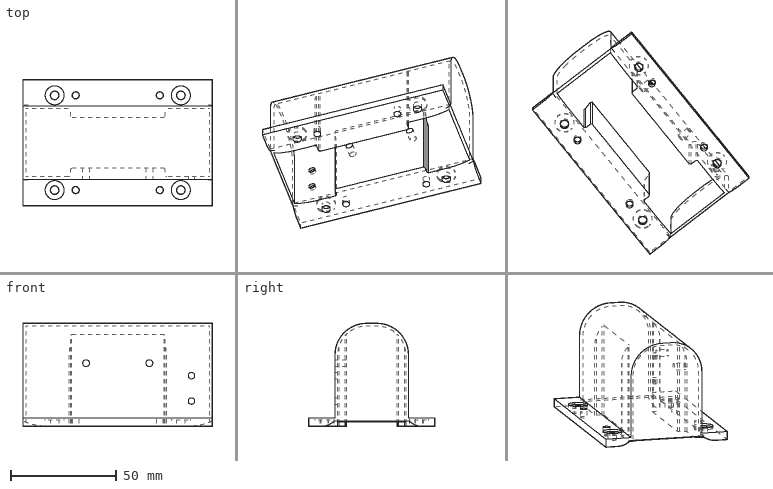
import cadquery as cq
import math

length = 90.0
base_width = 60.0
base_thickness = 4.0
height = 49.0

dome_radius = 15.0
housing_width = 35.0
housing_half_width = housing_width / 2
dome_start_height = height - dome_radius

wall_thickness = 1.35
cavity_half_length = length / 2 - wall_thickness
cavity_half_width = housing_half_width - wall_thickness
thick_wall_half_length = 22.5
thick_wall_gap = 24.1
thick_wall_bevel = 0.6

lead_in_half_width = 17.8
lead_in_radius = 8.7
lead_in_angle = 45.0
lead_in_stretch = 2.0
lead_in_reach = lead_in_radius * math.sin(math.radians(lead_in_angle))
lead_in_height = lead_in_radius * (1 - math.cos(math.radians(lead_in_angle)))

base_hole_y = 22.5
mount_hole_x = 30.0
mount_hole_diameter = 4.0
counterbore_diameter = 9.0
counterbore_depth = 1.0
pin_hole_x = 20.0
pin_hole_diameter = 3.2

upper_hole_x = 15.0
upper_hole_z = 30.0
upper_hole_diameter = 3.2
end_hole_x = 35.0
end_hole_heights = (12.0, 24.0)
end_hole_diameter = 3.1


def make_round_topped_bar(bar_length, half_width, top_radius):
    """Bar along X standing on Z = 0, with a quarter round along each side of its top."""
    flat_half_width = half_width - top_radius
    shoulder = top_radius * math.sin(math.radians(45))
    arc_y = flat_half_width + shoulder
    arc_z = dome_start_height + shoulder
    top = dome_start_height + top_radius
    return (
        cq.Workplane("YZ", origin=(-bar_length / 2, 0, 0))
        .moveTo(-half_width, 0)
        .lineTo(-half_width, dome_start_height)
        .threePointArc((-arc_y, arc_z), (-flat_half_width, top))
        .lineTo(flat_half_width, top)
        .threePointArc((arc_y, arc_z), (half_width, dome_start_height))
        .lineTo(half_width, 0)
        .close()
        .extrude(bar_length)
    )


def make_lead_in_profile(y):
    """Area under the lead-in arc, which runs out tangent to the underside."""
    half_angle = math.radians(lead_in_angle / 2)
    middle = (
        lead_in_reach - lead_in_radius * math.sin(half_angle),
        lead_in_radius * (1 - math.cos(half_angle)),
    )
    return (
        cq.Workplane("XZ", origin=(0, y, 0))
        .lineTo(0, lead_in_height)
        .threePointArc(middle, (lead_in_reach, 0))
        .close()
    )


def make_lead_in():
    """Cutter for the -X end: straight across below the end wall, swept round at both sides.

    It is stretched along X, so the ramp is gentler lengthwise than sideways.
    """
    cutter = make_lead_in_profile(lead_in_half_width).extrude(2 * lead_in_half_width)
    for y in (-lead_in_half_width, lead_in_half_width):
        corner = make_lead_in_profile(y).revolve(360, (0, 0), (0, 1))
        cutter = cutter.union(corner)
    stretch = cq.Matrix([[lead_in_stretch, 0, 0, 0], [0, 1, 0, 0], [0, 0, 1, 0]])
    stretched = cutter.val().transformGeometry(stretch)
    return cq.Workplane(stretched).translate((-length / 2, 0, 0))


def make_cavity():
    """Cavity cutter: the housing shape set in by its walls, trimmed to a stepped plan outline."""
    inside = make_round_topped_bar(
        2 * cavity_half_length, cavity_half_width, dome_radius - wall_thickness
    )
    middle_half_width = thick_wall_gap / 2
    quarter_outline = [
        (cavity_half_length, cavity_half_width),
        (thick_wall_half_length + thick_wall_bevel, cavity_half_width),
        (thick_wall_half_length, cavity_half_width - thick_wall_bevel),
        (thick_wall_half_length, middle_half_width + thick_wall_bevel),
        (thick_wall_half_length - thick_wall_bevel, middle_half_width),
    ]
    half_outline = quarter_outline + [(-x, y) for x, y in reversed(quarter_outline)]
    outline = half_outline + [(x, -y) for x, y in reversed(half_outline)]
    plan = cq.Workplane("XY").polyline(outline).close().extrude(height)
    return inside.intersect(plan)


base = cq.Workplane("XY").box(length, base_width, base_thickness, centered=(True, True, False))
result = base.union(make_round_topped_bar(length, housing_half_width, dome_radius))
result = result.cut(make_cavity())

lead_in = make_lead_in()
result = result.cut(lead_in).cut(lead_in.mirror("YZ"))

base_top = cq.Workplane("XY", origin=(0, 0, base_thickness))
mount_holes = base_top.rect(2 * mount_hole_x, 2 * base_hole_y, forConstruction=True).vertices()
result = result.cut(mount_holes.circle(mount_hole_diameter / 2).extrude(-base_thickness))
result = result.cut(mount_holes.circle(counterbore_diameter / 2).extrude(-counterbore_depth))
pin_holes = base_top.rect(2 * pin_hole_x, 2 * base_hole_y, forConstruction=True).vertices()
result = result.cut(pin_holes.circle(pin_hole_diameter / 2).extrude(-base_thickness))

side_wall = cq.Workplane("XZ", origin=(0, -housing_half_width, 0))
upper_holes = side_wall.pushPoints([(x, upper_hole_z) for x in (-upper_hole_x, upper_hole_x)])
result = result.cut(upper_holes.circle(upper_hole_diameter / 2).extrude(-housing_half_width))
end_holes = side_wall.pushPoints([(end_hole_x, z) for z in end_hole_heights])
result = result.cut(end_holes.circle(end_hole_diameter / 2).extrude(-housing_half_width))